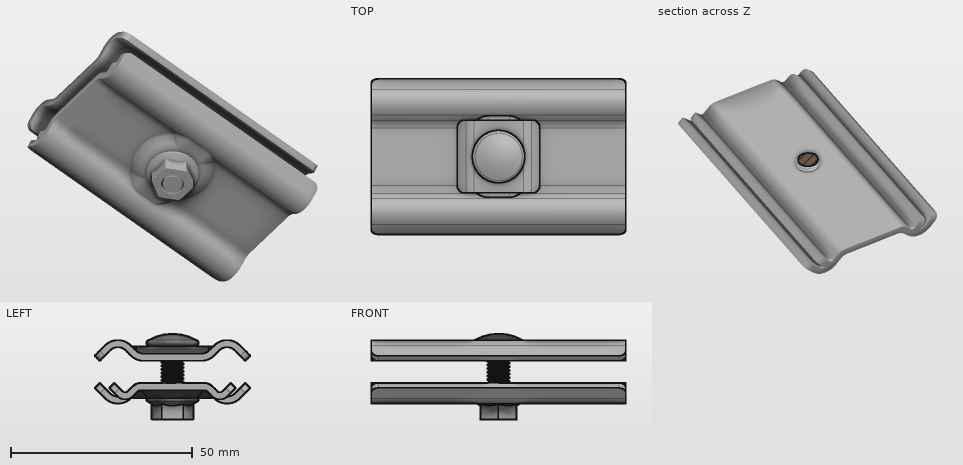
import cadquery as cq
import math

plate_length = 70.0
sheet = 2.0
plate_gap = 6.0
corner_radius = 2.0
clamp_ridge_y = 15.0
clamp_bend = 3.0
clamp_lip_y = 21.415
nested_ridge_y = 13.0
nested_bend = 1.0
nested_lip_y = 17.415

pad_height = 2.0
pad_angle = 30.5
dish_height = 2.3
dish_angle = 34.0
saddle_top_half = 6.78
saddle_base_half = 11.4
saddle_half_length = 9.97
rib_top_half = 2.96

bolt_radius = 3.15
hole_radius = 3.2
thread_pitch = 1.0
thread_depth = 0.5
root_width = 0.85
thread_overlap = 0.1
head_radius = 7.2
head_height = 3.5
head_rim_radius = 0.9
dome_edge_radius = 6.5

nut_height = 5.8
nut_flats = 10.0
flange_radius = 7.2
flange_rim_radius = 0.4
flange_angle = 32.0
nut_end_radius = 5.5
nut_chamfer_angle = 30.0

upper_base_z = plate_gap / 2
upper_top_z = upper_base_z + sheet
saddle_top_z = upper_top_z + pad_height
lower_top_z = -plate_gap / 2
lower_base_z = lower_top_z - sheet
dish_base_z = lower_base_z - dish_height
nut_base_z = dish_base_z - nut_height

pad_run = saddle_base_half - saddle_top_half

SIN45 = math.sin(math.radians(45))


def half_plate(ridge_y, bend, lip_y):
    """The Y > 0 half of an upward-ridged sheet: its flat rests on Z = 0 and its lip ends level with the flat."""
    outer = bend + sheet
    middle = bend + sheet / 2
    lip_run = lip_y - ridge_y - outer * SIN45
    ridge_top = outer * (1 - SIN45) + lip_run + sheet * SIN45
    ridge_z = ridge_top - outer
    rise = ridge_top - sheet
    slope_run = rise - 2 * middle * (1 - SIN45)
    flat_y = ridge_y - 2 * middle * SIN45 - slope_run
    bend_z = outer

    def arc_points(center_y, center_z, radius, angles):
        return [
            (center_y + radius * math.cos(math.radians(a)), center_z + radius * math.sin(math.radians(a)))
            for a in angles
        ]

    foot_outer = arc_points(flat_y, bend_z, outer, (-67.5, -45))
    foot_inner = arc_points(flat_y, bend_z, bend, (-67.5, -45))
    crest_inner = arc_points(ridge_y, ridge_z, bend, (135, 90, 45))
    crest_outer = arc_points(ridge_y, ridge_z, outer, (135, 90, 45))
    tip_upper = (lip_y, sheet * SIN45)
    tip_lower = (lip_y - sheet * SIN45, 0)

    solid = (
        cq.Workplane("YZ")
        .moveTo(0, 0)
        .lineTo(flat_y, 0)
        .threePointArc(*foot_outer)
        .lineTo(*crest_inner[0])
        .threePointArc(*crest_inner[1:])
        .lineTo(*tip_lower)
        .lineTo(*tip_upper)
        .lineTo(*crest_outer[2])
        .threePointArc(crest_outer[1], crest_outer[0])
        .lineTo(*foot_inner[1])
        .threePointArc(foot_inner[0], (flat_y, sheet))
        .lineTo(0, sheet)
        .close()
        .extrude(plate_length / 2, both=True)
    )
    lip_corners = cq.selectors.BoxSelector(
        (-plate_length, tip_lower[0] - 0.01, -0.01),
        (plate_length, tip_upper[0] + 0.01, tip_upper[1] + 0.01),
        boundingbox=True,
    )
    return solid.edges(lip_corners).edges("not |X").fillet(corner_radius)


def bent_plate(ridge_y, bend, lip_y):
    """Whole plate, symmetric about Y = 0, with its flat resting on Z = 0."""
    half = half_plate(ridge_y, bend, lip_y)
    return half.union(half.mirror("XZ")).clean()


def pad_outline(top_half, height, angle):
    """Right half of a pad's section, base on height 0: flat top, rounded shoulder and sloped side."""
    slope = math.radians(angle)
    shoulder_radius = (pad_run * math.tan(slope) - height) / (
        math.sin(slope) * math.tan(slope) - 1 + math.cos(slope)
    )
    shoulder = [
        (top_half + shoulder_radius * math.sin(a), height - shoulder_radius * (1 - math.cos(a)))
        for a in (slope / 2, slope)
    ]
    return (
        cq.Workplane("XZ")
        .moveTo(0, 0)
        .lineTo(0, height)
        .lineTo(top_half, height)
        .threePointArc(*shoulder)
        .lineTo(top_half + pad_run, 0)
        .close()
    )


def long_pad(top_half, half_length, height, angle):
    """Pad of constant section along Y, symmetric about X = 0, standing on the top of a sheet."""
    half = pad_outline(top_half, height, angle).extrude(half_length, both=True)
    return half.union(half.mirror("YZ")).clean().translate((0, 0, sheet))


def rib(height, angle):
    """Narrow pad that crosses the flat from ridge to ridge."""
    half_length = clamp_ridge_y - (clamp_bend + sheet) * SIN45
    return long_pad(rib_top_half, half_length, height, angle)


def round_dish():
    """Round pad on the top of a sheet."""
    outline = pad_outline(saddle_top_half, dish_height, dish_angle)
    return outline.revolve(360, (0, 0), (0, 1)).translate((0, 0, sheet))


def bolt_hole():
    return cq.Workplane("XY").circle(hole_radius).extrude(plate_length, both=True)


def turned_over(body):
    return body.rotate((0, 0, 0), (1, 0, 0), 180)


clamp_sheet = bent_plate(clamp_ridge_y, clamp_bend, clamp_lip_y)
nested_sheet = bent_plate(nested_ridge_y, nested_bend, nested_lip_y)

saddle_blank = long_pad(saddle_top_half, saddle_half_length, pad_height, pad_angle)
saddle = saddle_blank.cut(clamp_sheet).cut(bolt_hole()).translate((0, 0, upper_base_z))

upper_blank = clamp_sheet.union(rib(pad_height, pad_angle).cut(saddle_blank))
upper_plate = upper_blank.cut(bolt_hole()).translate((0, 0, upper_base_z))

bridge = clamp_sheet.intersect(
    cq.Workplane("XY").box(2 * saddle_base_half, 2 * clamp_ridge_y, plate_length)
)

nested_blank = nested_sheet.cut(bridge)
nested_plate = turned_over(nested_blank.cut(bolt_hole())).translate((0, 0, lower_top_z))

outer_blank = clamp_sheet.union(rib(dish_height, dish_angle)).union(round_dish())
outer_plate = turned_over(outer_blank.cut(nested_blank).cut(bolt_hole())).translate((0, 0, lower_top_z))


def bolt_head():
    """Domed head with a rounded edge, its underside on Z = 0."""
    rim_center_r = head_radius - head_rim_radius
    rim_join_z = head_rim_radius + math.sqrt(
        head_rim_radius**2 - (dome_edge_radius - rim_center_r) ** 2
    )
    dome_rise = head_height - rim_join_z
    dome_radius = (dome_edge_radius**2 + dome_rise**2) / (2 * dome_rise)
    dome_mid_r = dome_edge_radius / 2
    dome_mid_z = head_height - dome_radius + math.sqrt(dome_radius**2 - dome_mid_r**2)
    return (
        cq.Workplane("XZ")
        .moveTo(0, 0)
        .lineTo(rim_center_r, 0)
        .threePointArc((head_radius, head_rim_radius), (dome_edge_radius, rim_join_z))
        .threePointArc((dome_mid_r, dome_mid_z), (0, head_height))
        .close()
        .revolve(360, (0, 0), (0, 1))
    )


def threaded_rod(length):
    """Rod with a right-hand helical thread, from Z = 0 up to the given length."""
    core_radius = bolt_radius - thread_depth
    root_radius = core_radius - thread_overlap
    helix = cq.Wire.makeHelix(thread_pitch, length - thread_pitch, core_radius)
    ridge = (
        cq.Workplane("XZ")
        .polyline(
            [
                (root_radius, -root_width / 2),
                (bolt_radius, 0),
                (root_radius, root_width / 2),
            ]
        )
        .close()
        .sweep(cq.Workplane(helix), isFrenet=True)
        .translate((0, 0, thread_pitch / 2))
    )
    core = cq.Workplane("XY").circle(core_radius).extrude(length)
    return core.union(ridge)


shank = cq.Workplane("XY").circle(bolt_radius).extrude(pad_height)
bolt = (
    threaded_rod(upper_top_z - nut_base_z)
    .translate((0, 0, nut_base_z))
    .union(shank.translate((0, 0, upper_top_z)))
    .union(bolt_head().translate((0, 0, saddle_top_z)))
)


def flange_nut():
    """Hexagon nut with its corners along Y and a round flange on top, the flange face on Z = 0."""
    corner_r = nut_flats / math.sqrt(3)
    hexagon = (
        cq.Workplane("XY")
        .polygon(6, 2 * corner_r)
        .extrude(-nut_height)
        .rotate((0, 0, 0), (0, 0, 1), 90)
    )
    chamfer_rise = (corner_r - nut_end_radius) * math.tan(math.radians(nut_chamfer_angle))
    chamfer_envelope = (
        cq.Workplane("XZ")
        .polyline(
            [
                (0, -nut_height),
                (nut_end_radius, -nut_height),
                (corner_r, chamfer_rise - nut_height),
                (corner_r, 0),
                (0, 0),
            ]
        )
        .close()
        .revolve(360, (0, 0), (0, 1))
    )
    slope = math.radians(flange_angle)
    rim_center_r = flange_radius - flange_rim_radius
    rim_end_r = rim_center_r + flange_rim_radius * math.sin(slope)
    rim_end_z = -flange_rim_radius * (1 + math.cos(slope))
    flange = (
        cq.Workplane("XZ")
        .moveTo(0, 0)
        .lineTo(rim_center_r, 0)
        .threePointArc((flange_radius, -flange_rim_radius), (rim_end_r, rim_end_z))
        .lineTo(0, rim_end_z - rim_end_r * math.tan(slope))
        .close()
        .revolve(360, (0, 0), (0, 1))
    )
    return hexagon.intersect(chamfer_envelope).union(flange).cut(bolt_hole())


nut = flange_nut().translate((0, 0, dish_base_z))

result = cq.Compound.makeCompound(
    [
        upper_plate.val(),
        saddle.val(),
        nested_plate.val(),
        outer_plate.val(),
        bolt.val(),
        nut.val(),
    ]
)